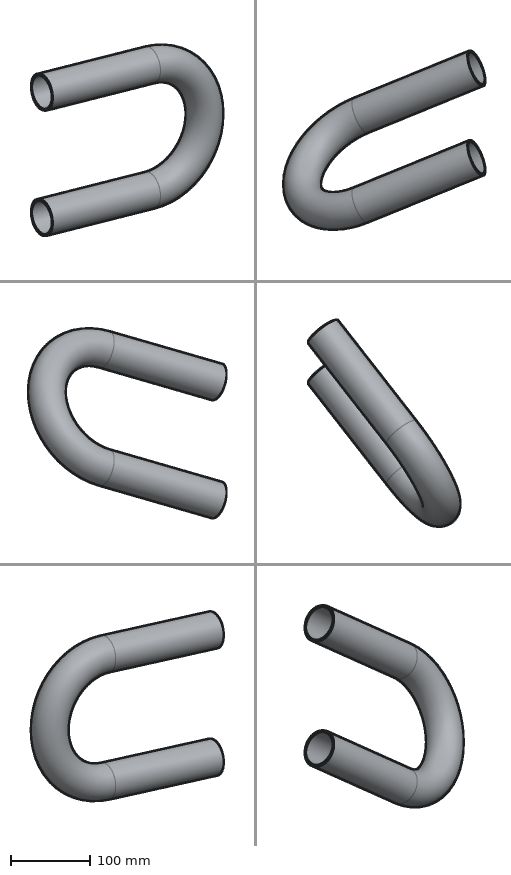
import cadquery as cq

overall_length = 275.5
overall_height = 218.2
outer_diameter = 48.2
inner_diameter = 43.3

outer_radius = outer_diameter / 2
bend_radius = (overall_height - outer_diameter) / 2
leg_length = overall_length - bend_radius - outer_radius

centreline = (
    cq.Workplane("YZ")
    .moveTo(-leg_length, -bend_radius)
    .lineTo(0, -bend_radius)
    .threePointArc((bend_radius, 0), (0, bend_radius))
    .lineTo(-leg_length, bend_radius)
)

result = (
    cq.Workplane("XZ", origin=(0, -leg_length, -bend_radius))
    .circle(outer_radius)
    .circle(inner_diameter / 2)
    .sweep(centreline)
)